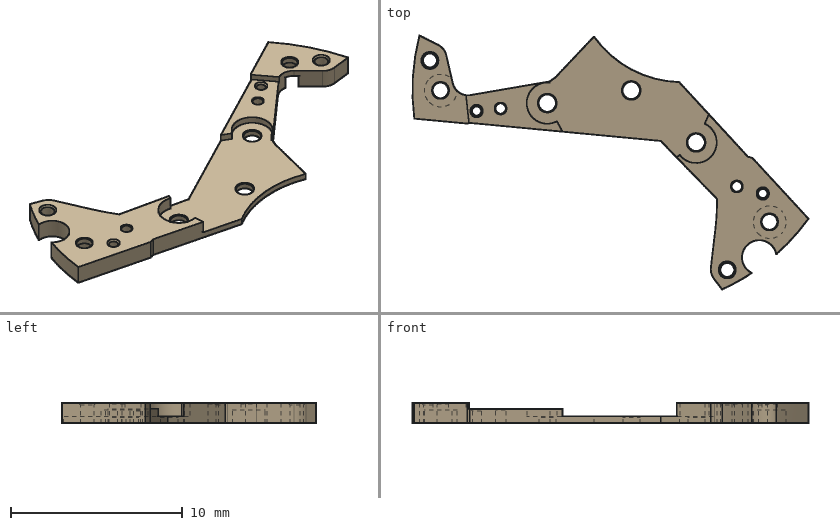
import cadquery as cq
import math


FULL_HEIGHT = 1.18
ARM_HEIGHT = 0.82
WEB_HEIGHT = 0.40

RIM_RADIUS = 12.75
NOTCH_DIAMETER = 2.0
NOTCH_CENTRE = (7.46, -9.73)

FOOT_TOP_Y = 3.21
FOOT_BOTTOM_Y = -1.65
RIGHT_ARM_CORNER_Y = -7.475
TIP_Y = -11.60

FOOT_CORNER_RADIUS = 0.9
TIP_CORNER_RADIUS = 0.95
TIP_WAIST_RADIUS = 14.3

WEB_TOP_LEFT = (-2.17, 3.14)
WEB_TOP_RIGHT = (2.79, 0.49)
WEB_TOP_ARC_RADIUS = 6.3

LEFT_BEARING = (-4.89, -0.74)
RIGHT_BEARING = (3.78, -3.03)
SEAT_RADIUS = 1.2
LEFT_STEP_UPPER = 83
LEFT_STEP_LOWER = -62
RIGHT_STEP_UPPER = 65.5
RIGHT_STEP_LOWER = 217.5
STEP_REACH_UPPER = 6.0
STEP_REACH_LOWER = 3.0

FOOT_STEP_TOP = (-9.62, -0.32)
FOOT_STEP_BOTTOM = (-9.45, -1.90)
STEP_OVERRUN = 1.0

LEFT_SCREW = (-11.11, 0.0)
RIGHT_SCREW = (8.055, -7.66)
SCREW_HEAD_DIAMETER = 1.9
SCREW_HEAD_DEPTH = 0.78

HOLE_GROUPS = [
    (1.0, 0.05, [((0, 0), WEB_HEIGHT), (LEFT_BEARING, WEB_HEIGHT), (RIGHT_BEARING, WEB_HEIGHT)]),
    (0.9, 0.05, [(LEFT_SCREW, FULL_HEIGHT), (RIGHT_SCREW, FULL_HEIGHT)]),
    (0.8, 0.10, [((-11.725, 1.745), FULL_HEIGHT), ((5.595, -10.455), FULL_HEIGHT)]),
    (0.6, 0.05, [((-7.61, -1.055), ARM_HEIGHT), ((6.155, -5.595), FULL_HEIGHT)]),
    (0.53, 0.10, [((-9.005, -1.20), ARM_HEIGHT), ((7.665, -6.005), FULL_HEIGHT)]),
]


def rim_point(y, side):
    """Point of the rim at height y, on the left (side = -1) or the right (side = 1)."""
    return (side * math.sqrt(RIM_RADIUS**2 - y**2), y)


def rim_middle(start, end):
    """Point of the rim halfway between two rim points on the same side."""
    x = start[0] + end[0]
    y = start[1] + end[1]
    length = math.hypot(x, y)
    return (RIM_RADIUS * x / length, RIM_RADIUS * y / length)


def polar(centre, radius, degrees):
    """Point at a distance and direction from a centre."""
    angle = math.radians(degrees)
    return (centre[0] + radius * math.cos(angle), centre[1] + radius * math.sin(angle))


def toward(start, end, distance):
    """Point at a distance from start in the direction of end."""
    length = math.dist(start, end)
    return tuple(a + (b - a) * distance / length for a, b in zip(start, end))


def rounded_corner(path, before, corner, after, radius):
    """Draw a line toward a corner and round the corner with a tangent arc."""
    angle_in = math.atan2(before[1] - corner[1], before[0] - corner[0])
    angle_out = math.atan2(after[1] - corner[1], after[0] - corner[0])
    half_angle = math.acos(math.cos(angle_in - angle_out)) / 2
    tangent_length = radius / math.tan(half_angle)
    arc_start = toward(corner, before, tangent_length)
    arc_end = toward(corner, after, tangent_length)
    chord_middle = tuple((a + b) / 2 for a, b in zip(arc_start, arc_end))
    arc_middle = toward(corner, chord_middle, radius / math.sin(half_angle) - radius)
    return path.lineTo(*arc_start).threePointArc(arc_middle, arc_end)


def bridge_outline():
    """Closed outline of the plate, clockwise from the top corner of the foot."""
    foot_top = rim_point(FOOT_TOP_Y, -1)
    foot_bottom = rim_point(FOOT_BOTTOM_Y, -1)
    right_corner = rim_point(RIGHT_ARM_CORNER_Y, 1)
    tip = rim_point(TIP_Y, 1)
    foot_shoulder = (-10.86, 2.46)
    foot_root = (-10.20, -0.41)
    arm_top_end = (-4.74, 0.53)
    web_left_root = (-4.42, 0.76)
    right_jog_start = (6.79, -3.85)
    right_jog_end = (7.06, -3.93)
    tip_corner = (4.59, -10.68)
    tip_waist = (4.99, -7.27)
    right_arm_root = (4.99, -6.32)
    web_bottom_bend = (1.72, -2.95)
    foot_jog_start = (-9.40, -1.90)
    foot_jog_end = (-9.54, -1.94)

    path = cq.Workplane("XY").moveTo(*foot_top)
    path = rounded_corner(path, foot_top, foot_shoulder, foot_root, FOOT_CORNER_RADIUS)
    path = rounded_corner(path, foot_shoulder, foot_root, arm_top_end, FOOT_CORNER_RADIUS)
    path = path.lineTo(*arm_top_end).lineTo(*web_left_root).lineTo(*WEB_TOP_LEFT)
    path = path.radiusArc(WEB_TOP_RIGHT, -WEB_TOP_ARC_RADIUS)
    path = path.lineTo(*right_jog_start).lineTo(*right_jog_end).lineTo(*right_corner)
    path = path.threePointArc(rim_middle(right_corner, tip), tip)
    path = rounded_corner(path, tip, tip_corner, tip_waist, TIP_CORNER_RADIUS)
    path = rounded_corner(path, tip_corner, tip_waist, right_arm_root, TIP_WAIST_RADIUS)
    path = path.lineTo(*right_arm_root).lineTo(*web_bottom_bend)
    path = path.lineTo(*foot_jog_start).lineTo(*foot_jog_end).lineTo(*foot_bottom)
    return path.threePointArc(rim_middle(foot_bottom, foot_top), foot_top).close()


def space_above(level, points):
    """Prism over a polygon, from a level up to the top of the plate."""
    return cq.Workplane("XY").workplane(offset=level).polyline(points).close().extrude(FULL_HEIGHT - level)


def left_arm_space():
    """Space above the left arm, from the foot step to the steps at the left seat."""
    return space_above(ARM_HEIGHT, [
        toward(FOOT_STEP_TOP, FOOT_STEP_BOTTOM, -STEP_OVERRUN),
        toward(FOOT_STEP_BOTTOM, FOOT_STEP_TOP, -STEP_OVERRUN),
        polar(LEFT_BEARING, STEP_REACH_LOWER, LEFT_STEP_LOWER),
        LEFT_BEARING,
        polar(LEFT_BEARING, STEP_REACH_UPPER, LEFT_STEP_UPPER),
    ])


def web_space():
    """Space above the sunk web, including the round seats at its two ends."""
    space = space_above(WEB_HEIGHT, [
        LEFT_BEARING,
        polar(LEFT_BEARING, STEP_REACH_LOWER, LEFT_STEP_LOWER),
        polar(RIGHT_BEARING, STEP_REACH_LOWER, RIGHT_STEP_LOWER),
        RIGHT_BEARING,
        polar(RIGHT_BEARING, STEP_REACH_UPPER, RIGHT_STEP_UPPER),
        polar(LEFT_BEARING, STEP_REACH_UPPER, LEFT_STEP_UPPER),
    ])
    seats = cq.Workplane("XY").workplane(offset=WEB_HEIGHT).pushPoints([LEFT_BEARING, RIGHT_BEARING])
    return space.union(seats.circle(SEAT_RADIUS).extrude(FULL_HEIGHT - WEB_HEIGHT))


def chamfered_hole(centre, diameter, chamfer, level):
    """Through hole with a 45 degree chamfer at its upper mouth."""
    radius = diameter / 2
    profile = (
        cq.Workplane("XZ")
        .lineTo(radius, 0)
        .lineTo(radius, level - chamfer)
        .lineTo(radius + chamfer, level)
        .lineTo(0, level)
        .close()
    )
    return profile.revolve(360, (0, 0, 0), (0, 1, 0)).translate((*centre, 0))


result = bridge_outline().extrude(FULL_HEIGHT)
result = result.cut(left_arm_space()).cut(web_space())

notch = cq.Workplane("XY").center(*NOTCH_CENTRE).circle(NOTCH_DIAMETER / 2).extrude(FULL_HEIGHT)
result = result.cut(notch)

screw_heads = cq.Workplane("XY").pushPoints([LEFT_SCREW, RIGHT_SCREW])
result = result.cut(screw_heads.circle(SCREW_HEAD_DIAMETER / 2).extrude(SCREW_HEAD_DEPTH))

for hole_diameter, mouth_chamfer, holes in HOLE_GROUPS:
    for hole_centre, mouth_level in holes:
        result = result.cut(chamfered_hole(hole_centre, hole_diameter, mouth_chamfer, mouth_level))